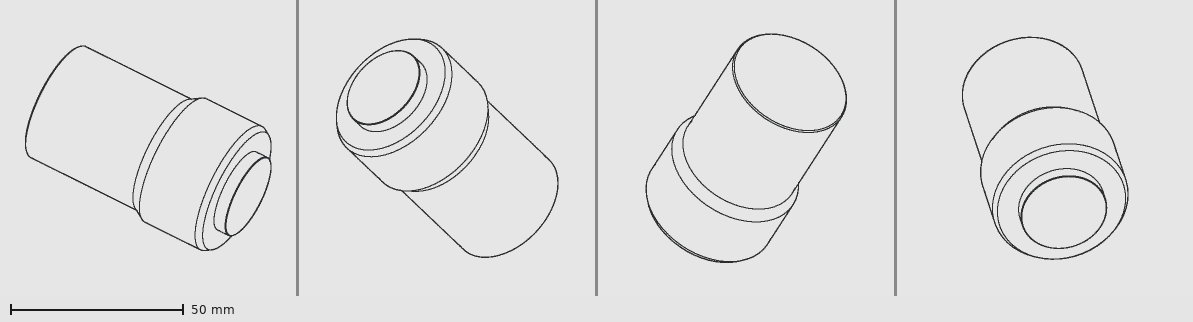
import cadquery as cq

total_length = 65.1
barrel_length = 36.85
flare_length = 3.45
head_end = 61.1
head_chamfer_length = 1.9

barrel_radius = 18.0
head_radius = 20.0
head_face_radius = 18.9
spigot_radius = 12.6

barrel_chamfer = 0.4
spigot_chamfer = 0.2

half_section = (
    cq.Workplane("XY")
    .moveTo(0, 0)
    .lineTo(0, barrel_radius - barrel_chamfer)
    .lineTo(barrel_chamfer, barrel_radius)
    .lineTo(barrel_length, barrel_radius)
    .lineTo(barrel_length + flare_length, head_radius)
    .lineTo(head_end - head_chamfer_length, head_radius)
    .lineTo(head_end, head_face_radius)
    .lineTo(head_end, spigot_radius)
    .lineTo(total_length - spigot_chamfer, spigot_radius)
    .lineTo(total_length, spigot_radius - spigot_chamfer)
    .lineTo(total_length, 0)
    .close()
)

result = half_section.revolve(360, (0, 0, 0), (1, 0, 0))